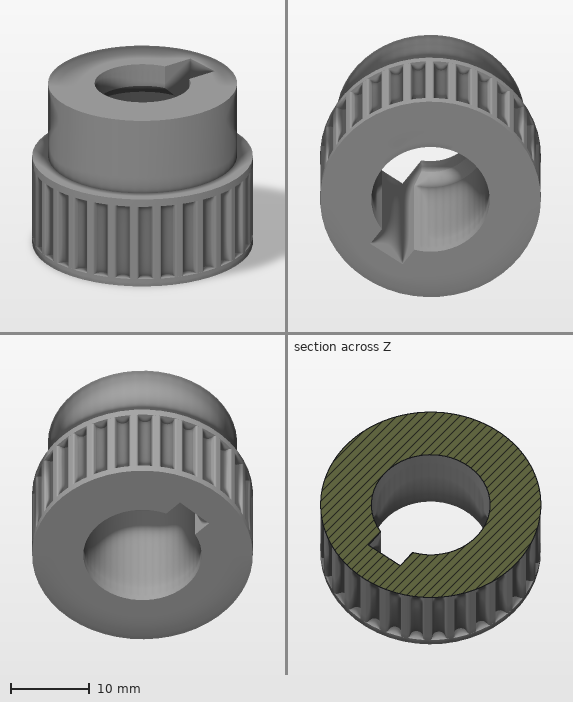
import cadquery as cq
import math

flange_diameter = 28.0
tooth_tip_diameter = 27.97
flange_thickness = 1.0
belt_width = 10.0
tooth_count = 30

groove_floor_radius = 12.77
floor_edge_radius = 13.15
floor_half_width = 0.73
mouth_half_width = 0.95
tip_rounding = 0.25
cutter_overrun = 0.28

hub_diameter = 24.0
hub_height = 10.0

bore_diameter = 15.0
lip_diameter = 12.15
lip_height = 3.0
keyway_width = 5.05
keyway_top = 9.6

belt_top = flange_thickness + belt_width
hub_base = belt_top + flange_thickness
total_height = hub_base + hub_height
groove_pitch = 360.0 / tooth_count
first_groove_angle = groove_pitch / 2 - 90


def disc(diameter, bottom, height):
    return cq.Workplane("XY").workplane(offset=bottom).circle(diameter / 2).extrude(height)


def groove_cutter():
    """Prism for the groove that opens toward +X, with flanks running past the tooth tips."""
    flank_depth = tooth_tip_diameter / 2 - floor_edge_radius
    flank_slope = (mouth_half_width - floor_half_width) / flank_depth
    outer_radius = flange_diameter / 2 + cutter_overrun
    outer_half_width = floor_half_width + flank_slope * (outer_radius - floor_edge_radius)
    return (
        cq.Workplane("XY")
        .workplane(offset=flange_thickness)
        .moveTo(outer_radius, -outer_half_width)
        .lineTo(floor_edge_radius, -floor_half_width)
        .threePointArc((groove_floor_radius, 0), (floor_edge_radius, floor_half_width))
        .lineTo(outer_radius, outer_half_width)
        .close()
        .extrude(belt_width)
    )


def toothed_band():
    """Band with its grooves cut and the sharp tooth tips rounded."""
    band = disc(tooth_tip_diameter, flange_thickness, belt_width)
    cutter = groove_cutter()
    for index in range(tooth_count):
        turn = first_groove_angle + index * groove_pitch
        band = band.cut(cutter.rotate((0, 0, 0), (0, 0, 1), turn))
    mid_flank_radius = (floor_edge_radius + tooth_tip_diameter / 2) / 2
    tip_edges = [
        edge for edge in band.edges("|Z").vals()
        if math.hypot(edge.Center().x, edge.Center().y) > mid_flank_radius
    ]
    return band.newObject(tip_edges).fillet(tip_rounding)


def bore_cutter():
    """Stepped bore whose two diameters are joined by a 45 degree cone."""
    bore_radius = bore_diameter / 2
    lip_radius = lip_diameter / 2
    lip_bottom = total_height - lip_height
    cone_bottom = lip_bottom - (bore_radius - lip_radius)
    return (
        cq.Workplane("XZ")
        .polyline([
            (0, 0),
            (bore_radius, 0),
            (bore_radius, cone_bottom),
            (lip_radius, lip_bottom),
            (lip_radius, total_height),
            (0, total_height),
        ])
        .close()
        .revolve(360, (0, 0, 0), (0, 1, 0))
    )


def keyway_cutter():
    """Rectangular slot on the +Y side, running through the full height."""
    return cq.Workplane("XY").box(
        keyway_width, keyway_top, total_height, centered=(True, False, False)
    )


result = (
    toothed_band()
    .union(disc(flange_diameter, 0, flange_thickness))
    .union(disc(flange_diameter, belt_top, flange_thickness))
    .union(disc(hub_diameter, hub_base, hub_height))
    .cut(bore_cutter())
    .cut(keyway_cutter())
)